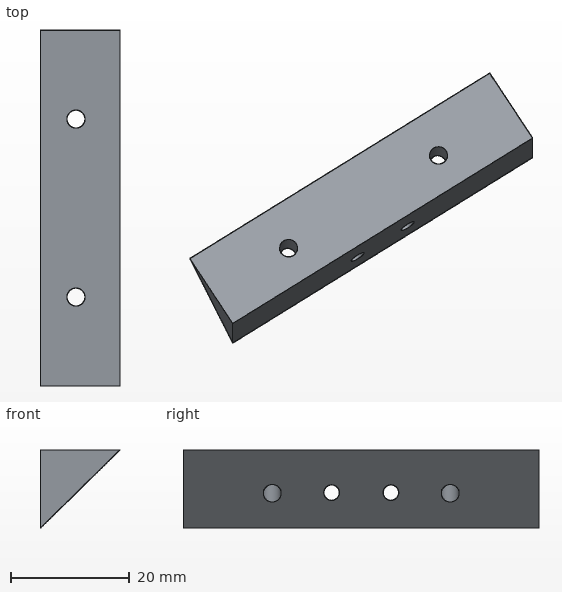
import cadquery as cq

length = 60.0
width = 13.45
height = 13.2

top_hole_diameter = 3.0
top_hole_x = 6.0
top_hole_spacing = length / 2

side_hole_diameter = 2.6
side_hole_z = 6.0
side_hole_spacing = length / 6

bar = (
    cq.Workplane("XZ")
    .polyline([(0, 0), (0, height), (width, height)])
    .close()
    .extrude(length / 2, both=True)
)

top_holes = (
    cq.Workplane("XY")
    .pushPoints([(top_hole_x, side * top_hole_spacing / 2) for side in (-1, 1)])
    .circle(top_hole_diameter / 2)
    .extrude(height)
)
side_holes = (
    cq.Workplane("YZ")
    .pushPoints([(side * side_hole_spacing / 2, side_hole_z) for side in (-1, 1)])
    .circle(side_hole_diameter / 2)
    .extrude(width)
)

result = bar.cut(top_holes).cut(side_holes)